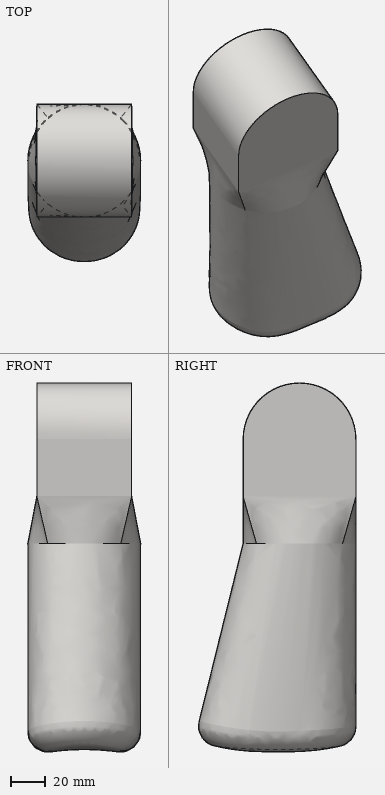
import cadquery as cq
import math

total_height = 212.5
head_width = 54.6
head_depth = 65.0
head_radius = head_depth / 2
head_bottom = 147.3

handle_half = head_depth / 2
handle_top = 120.0
foot_level = 17.0
top_flat_start = 18.7
top_flat_end = 46.3
foot_flat_start = 31.0
foot_flat_end = 60.5
foot_depth = 90.5
blank_bottom = -10.6

neck_seam_x = 21.0

sole_radius = 340.0
sole_center_y = -44.6
sole_hollow = 1.5
sole_lip_x = 20.2
foot_fillet = 11.7


def circle_x(y):
    """Half width of the circular handle top at a given Y."""
    return math.sqrt(head_radius**2 - (y + head_radius) ** 2)


def handle_section(work, flat_start, flat_end, depth, flat_half, side_half):
    """Draw rounded ends joined by sides that bulge from flat_half to side_half."""
    middle_y = -(flat_start + flat_end) / 2
    outline = (
        work.moveTo(flat_half, -flat_start)
        .threePointArc((0, 0), (-flat_half, -flat_start))
    )
    if side_half > flat_half:
        outline = outline.threePointArc((-side_half, middle_y), (-flat_half, -flat_end))
    else:
        outline = outline.lineTo(-flat_half, -flat_end)
    outline = outline.threePointArc((0, -depth), (flat_half, -flat_end))
    if side_half > flat_half:
        outline = outline.threePointArc((side_half, middle_y), (flat_half, -flat_start))
    return outline.close()


def extend_to_blank(top_value, foot_value):
    """Continue the straight taper of the handle below the foot level."""
    slope = (foot_value - top_value) / (handle_top - foot_level)
    return foot_value + slope * (foot_level - blank_bottom)


def make_head():
    spring_line = total_height - head_radius
    return (
        cq.Workplane("YZ", origin=(-head_width / 2, 0, 0))
        .moveTo(0, head_bottom)
        .lineTo(0, spring_line)
        .threePointArc((-head_radius, total_height), (-head_depth, spring_line))
        .lineTo(-head_depth, head_bottom)
        .close()
        .extrude(head_width)
    )


def make_neck():
    """Blend from the circular handle top to the rectangular head, panel by panel."""
    seam = neck_seam_x
    seam_offset = math.sqrt(head_radius**2 - seam**2)
    back_seam = -head_radius + seam_offset
    front_seam = -head_radius - seam_offset
    circle = (
        cq.Workplane("XY", origin=(0, 0, handle_top))
        .moveTo(seam, back_seam)
        .threePointArc((0, 0), (-seam, back_seam))
        .threePointArc((-head_radius, -head_radius), (-seam, front_seam))
        .threePointArc((0, -head_depth), (seam, front_seam))
        .threePointArc((head_radius, -head_radius), (seam, back_seam))
        .close()
    )
    side = head_width / 2
    rectangle = (
        cq.Workplane("XY", origin=(0, 0, head_bottom))
        .polyline([(side, 0), (-side, 0), (-side, -head_depth), (side, -head_depth)])
        .close()
    )
    wires = [circle.val(), rectangle.val()]
    return cq.Workplane(obj=cq.Solid.makeLoft(wires, True))


def make_handle():
    sketch = cq.Workplane("XY", origin=(0, 0, blank_bottom))
    lower = handle_section(
        sketch,
        extend_to_blank(top_flat_start, foot_flat_start),
        extend_to_blank(top_flat_end, foot_flat_end),
        extend_to_blank(head_depth, foot_depth),
        handle_half,
        handle_half,
    )
    upper = lower.workplane(offset=handle_top - blank_bottom)
    top_flat_half = circle_x(-top_flat_start)
    blank = handle_section(
        upper, top_flat_start, top_flat_end, head_depth, top_flat_half, handle_half
    ).loft(ruled=True)

    half = 2 * handle_half
    hollow_radius = (sole_lip_x**2 + sole_hollow**2) / (2 * sole_hollow)
    edge_drop = hollow_radius - math.sqrt(hollow_radius**2 - half**2)
    center_level = -sole_radius + sole_hollow
    sole = (
        cq.Workplane("XZ", origin=(0, sole_center_y, sole_radius))
        .moveTo(-half, 0)
        .lineTo(-half, center_level - edge_drop)
        .threePointArc((0, center_level), (half, center_level - edge_drop))
        .lineTo(half, 0)
        .close()
        .revolve(360, (0, 0), (1, 0))
    )
    handle = blank.intersect(sole)
    return handle.faces("<Z").edges().fillet(foot_fillet)


result = make_head().union(make_neck()).union(make_handle())